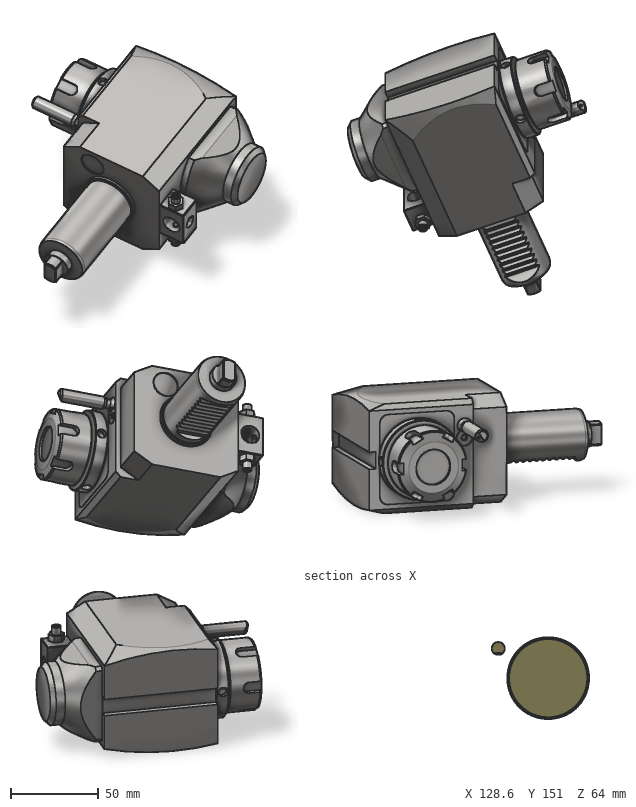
import cadquery as cq
import math


TOTAL_LENGTH_X = 128.63
TOTAL_LENGTH_Y = 151.0

HOUSING_HALF_HEIGHT = 32.0
HOUSING_RIGHT = 32.3
HOUSING_LEFT = -35.0
HOUSING_BACK = 84.0
FOOT_LEFT = -32.0
FOOT_DEPTH = 21.0
LEFT_CHAMFER = 3.0
LONG_CHAMFER_RUN = 11.0
LONG_CHAMFER_ANGLE = 30.0
LONG_CHAMFER_RISE = LONG_CHAMFER_RUN * math.tan(math.radians(LONG_CHAMFER_ANGLE))
CROWN_RADIUS = 160.0
CROWN_TAPER = 14.0
BACK_SLOT_WIDTH = 10.0
BACK_SLOT_DEPTH = 4.0
FRONT_DISC = (-12.5, 21.6)
FRONT_DISC_RADIUS = 7.5
FRONT_DISC_DEPTH = 0.8

SPINDLE_Y = 55.0
COVER_WIDTH = 45.0
COVER_HEIGHT = 52.6
COVER_CORNER = 5.0
COVER_RAISE = 0.1
COLLAR_RADIUS = 23.5
COLLAR_SEAT_RADIUS = 22.5
COLLAR_FRONT = -43.2
COLLAR_BACK = -35.5
COLLAR_CHAMFER = 0.5
COLLAR_HOLE_RADIUS = 2.7
COLLAR_HOLE_DEPTH = 3.0
COLLAR_HOLE_X = -39.5
COLLAR_HOLE_COUNT = 4
NUT_RADIUS = 20.95
NUT_FRONT = -64.6
NUT_SHOULDER = -62.3
NUT_RIM_X = -63.3
NUT_RIM_RADIUS = 20.3
NUT_BACK = -44.4
NUT_NECK_RADIUS = 17.5
NUT_FACE_RADIUS = 15.0
NUT_BORE_RADIUS = 10.3
NUT_BORE_DEPTH = 1.5
NUT_BACK_CHAMFER = 0.4
NUT_SLOT_COUNT = 6
NUT_SLOT_WIDTH = 6.6
NUT_SLOT_END = -52.4
NUT_LONG_SLOT_END = -50.6
NUT_LONG_SLOTS = (1, 2)
FIRST_SLOT_ANGLE = -90.0
NUT_SLOT_FLOOR = 17.7

NOZZLE_Y = 26.4
NOZZLE_Z = 17.0
NOZZLE_TIP = -67.8
NOZZLE_RADIUS = 3.7
NOZZLE_CHAMFER = 0.9
NOZZLE_BODY_END = -41.1
NOZZLE_NECK_RADIUS = 2.6
NOZZLE_NECK_START = -39.3
NOZZLE_NECK_END = -37.0
NOZZLE_FOOT_RADIUS = 4.3
NOZZLE_BEVEL_OFFSET = 0.7
NOZZLE_JET_RADIUS = 0.7
NOZZLE_JET_DEPTH = 2.0
PLUG_Z = 9.8
PLUG_RADIUS = 4.7
PLUG_RECESS = 0.2
PLUG_SOCKET_ACROSS_FLATS = 3.0
PLUG_SOCKET_DEPTH = 2.0

CAP_RADIUS = 32.4
CAP_CONE_START = 36.1
CAP_CONE_END = 52.6
CAP_NOSE_RADIUS = 18.3
CAP_END = NOZZLE_TIP + TOTAL_LENGTH_X
CAP_END_CHAMFER = 2.8
CAP_FLAT_Z = 23.15
CAP_FLAT_Y = 24.6
CAP_SLOPE_START = 38.8
CAP_SLOPE_ANGLE = 14.0

SHANK_RADIUS = 15.0
SHANK_LENGTH = 55.0
SHANK_CHAMFER_RUN = 1.8
SHANK_CHAMFER_RISE = 0.5
FLANGE_RADIUS = 16.1
FLANGE_FRONT_RADIUS = 15.6
FLANGE_THICKNESS = 1.3
RELIEF_RADIUS = 14.8
RELIEF_END = 2.2
PILOT_RADIUS = 7.5
PILOT_END = 59.5
TANG_RADIUS = 7.1
TANG_WIDTH = 8.0
TANG_END = TOTAL_LENGTH_Y - HOUSING_BACK
TANG_TIP_CHAMFER = 0.7
TANG_CORNER_CHAMFER = 0.4
TANG_ROOT_RADIUS = 0.7
RACK_TIP_Z = -12.2
RACK_ROOT_Z = -10.7
RACK_START = 7.2
RACK_START_LEAN = 0.6
RACK_FIRST_ROOT = 11.7
RACK_PITCH = 4.0
RACK_ROOT_COUNT = 10
RACK_ROOT_FLAT = 0.8

BLOCK_RIGHT = 48.0
BLOCK_FRONT = 1.0
BLOCK_BACK = 15.8
BLOCK_HALF_HEIGHT = 12.3
BLOCK_CHAMFER = 0.4
BLOCK_HOLE_X = 40.0
BLOCK_HOLE_RADIUS = 5.5
CROSS_HOLE_RADIUS = 3.7
SCREW_Y = 5.8
SCREW_RADIUS = 2.6
SCREW_TOP = 21.1
SCREW_CHAMFER = 0.4
SCREW_POINT_RADIUS = 1.4
SCREW_POINT_Z = 4.6
SCREW_SOCKET_ACROSS_FLATS = 2.5
SCREW_SOCKET_DEPTH = 2.0
HEXNUT_ACROSS_FLATS = 8.0
HEXNUT_TOP = 16.2

OVERLAP = 1.0
CLEAR = 100.0


def box(x_range, y_range, z_range):
    """Axis-aligned box given by its limits."""
    corner = (x_range[0], y_range[0], z_range[0])
    return (
        cq.Workplane("XY")
        .box(
            x_range[1] - x_range[0],
            y_range[1] - y_range[0],
            z_range[1] - z_range[0],
            centered=False,
        )
        .translate(corner)
    )


def turned_x(profile, y=0.0, z=0.0):
    """Body of revolution about the line through (y, z) along X; profile holds (x, radius)."""
    points = [(profile[0][0], 0.0)] + profile + [(profile[-1][0], 0.0)]
    outline = cq.Workplane("XY").polyline(points).close()
    return outline.revolve(360, (0, 0, 0), (1, 0, 0)).translate((0, y, z))


def turned_y(profile, x=0.0, z=0.0):
    """Body of revolution about the line through (x, z) along Y; profile holds (y, radius)."""
    points = [(0.0, profile[0][0])] + [(r, y) for y, r in profile] + [(0.0, profile[-1][0])]
    outline = cq.Workplane("XY").polyline(points).close()
    return outline.revolve(360, (0, 0, 0), (0, 1, 0)).translate((x, 0, z))


def hexagon_prism(plane, center, across_flats, length):
    """Hexagonal prism standing on the plane moved to center."""
    across_corners = across_flats / math.cos(math.radians(30))
    return cq.Workplane(plane, origin=center).polygon(6, across_corners).extrude(length)


def crown_cone():
    """Large shallow cone that rounds the upper back edge, through both back corners."""
    left_z = HOUSING_HALF_HEIGHT - LEFT_CHAMFER
    right_z = HOUSING_HALF_HEIGHT - LONG_CHAMFER_RISE
    run = HOUSING_RIGHT - HOUSING_LEFT
    rise = right_z - left_z
    chord = math.hypot(run, rise)
    sagitta_arm = math.sqrt(CROWN_RADIUS**2 - (chord / 2) ** 2)
    center_x = (HOUSING_LEFT + HOUSING_RIGHT) / 2 + sagitta_arm * rise / chord
    center_z = (left_z + right_z) / 2 - sagitta_arm * run / chord
    front_radius = CROWN_RADIUS + HOUSING_BACK * math.tan(math.radians(CROWN_TAPER))
    return turned_y([(0.0, front_radius), (HOUSING_BACK, CROWN_RADIUS)], center_x, center_z)


def housing():
    """Chamfered head with its crowned back and notch, on a narrower foot."""
    top = HOUSING_HALF_HEIGHT
    long_run = LONG_CHAMFER_RUN
    long_z = top - LONG_CHAMFER_RISE
    short_z = top - LEFT_CHAMFER
    right_edge = [
        (HOUSING_RIGHT - long_run, -top),
        (HOUSING_RIGHT, -long_z),
        (HOUSING_RIGHT, long_z),
        (HOUSING_RIGHT - long_run, top),
    ]
    head_outline = right_edge + [
        (HOUSING_LEFT + LEFT_CHAMFER, top),
        (HOUSING_LEFT, short_z),
        (HOUSING_LEFT, -short_z),
        (HOUSING_LEFT + LEFT_CHAMFER, -top),
    ]
    foot_outline = right_edge + [
        (FOOT_LEFT + long_run, top),
        (FOOT_LEFT, long_z),
        (FOOT_LEFT, -long_z),
        (FOOT_LEFT + long_run, -top),
    ]
    head = (
        cq.Workplane("XZ", origin=(0, FOOT_DEPTH, 0))
        .polyline(head_outline)
        .close()
        .extrude(-(HOUSING_BACK - FOOT_DEPTH))
    )
    upper_cone = crown_cone()
    lower_cone = upper_cone.mirror("XY")
    head = head.intersect(upper_cone).intersect(lower_cone)
    foot = cq.Workplane("XZ").polyline(foot_outline).close().extrude(-FOOT_DEPTH)
    body = head.union(foot)

    half_slot = BACK_SLOT_WIDTH / 2
    slot = box(
        (-CLEAR, CLEAR),
        (HOUSING_BACK - BACK_SLOT_DEPTH, HOUSING_BACK + OVERLAP),
        (-half_slot, half_slot),
    )
    disc = turned_y(
        [(-OVERLAP, FRONT_DISC_RADIUS), (FRONT_DISC_DEPTH, FRONT_DISC_RADIUS)], *FRONT_DISC
    )
    return body.cut(slot).cut(disc)


def cover():
    """Rounded rectangular cover standing slightly proud of the left face."""
    plate = box(
        (HOUSING_LEFT - COVER_RAISE, HOUSING_LEFT + OVERLAP),
        (SPINDLE_Y - COVER_WIDTH / 2, SPINDLE_Y + COVER_WIDTH / 2),
        (-COVER_HEIGHT / 2, COVER_HEIGHT / 2),
    )
    return plate.edges("|X").fillet(COVER_CORNER)


def nut_slot(end_x):
    """Flat-bottomed wrench slot above the spindle axis, open at the nut face, round at end_x."""
    half_slot = NUT_SLOT_WIDTH / 2
    round_x = end_x - half_slot
    return (
        cq.Workplane("XY", origin=(0, 0, NUT_SLOT_FLOOR))
        .moveTo(NUT_FRONT - OVERLAP, -half_slot)
        .lineTo(round_x, -half_slot)
        .threePointArc((end_x, 0), (round_x, half_slot))
        .lineTo(NUT_FRONT - OVERLAP, half_slot)
        .close()
        .extrude(NUT_RADIUS)
    )


def chuck():
    """Collar and slotted clamping nut on the spindle axis."""
    shoulder = COLLAR_RADIUS - COLLAR_CHAMFER
    body = turned_x(
        [
            (NUT_FRONT, NUT_FACE_RADIUS),
            (NUT_RIM_X, NUT_RIM_RADIUS),
            (NUT_SHOULDER, NUT_RADIUS),
            (NUT_BACK - NUT_BACK_CHAMFER, NUT_RADIUS),
            (NUT_BACK, NUT_RADIUS - NUT_BACK_CHAMFER),
            (NUT_BACK, NUT_NECK_RADIUS),
            (COLLAR_FRONT, NUT_NECK_RADIUS),
            (COLLAR_FRONT, shoulder),
            (COLLAR_FRONT + COLLAR_CHAMFER, COLLAR_RADIUS),
            (COLLAR_BACK - COLLAR_CHAMFER, COLLAR_RADIUS),
            (COLLAR_BACK, shoulder),
            (COLLAR_BACK, COLLAR_SEAT_RADIUS),
            (HOUSING_LEFT + OVERLAP, COLLAR_SEAT_RADIUS),
        ]
    )
    bore_floor = NUT_FRONT + NUT_BORE_DEPTH
    body = body.cut(turned_x([(NUT_FRONT - OVERLAP, NUT_BORE_RADIUS), (bore_floor, NUT_BORE_RADIUS)]))

    slot_step = 360 / NUT_SLOT_COUNT
    for i in range(NUT_SLOT_COUNT):
        end_x = NUT_LONG_SLOT_END if i in NUT_LONG_SLOTS else NUT_SLOT_END
        angle = FIRST_SLOT_ANGLE + i * slot_step
        body = body.cut(nut_slot(end_x).rotate((0, 0, 0), (1, 0, 0), angle))

    floor_radius = COLLAR_RADIUS - COLLAR_HOLE_DEPTH
    hole = (
        cq.Workplane("XZ")
        .polyline(
            [
                (0, floor_radius - COLLAR_HOLE_RADIUS / 2),
                (COLLAR_HOLE_RADIUS, floor_radius),
                (COLLAR_HOLE_RADIUS, COLLAR_RADIUS + OVERLAP),
                (0, COLLAR_RADIUS + OVERLAP),
            ]
        )
        .close()
        .revolve(360, (0, 0, 0), (0, 1, 0))
        .translate((COLLAR_HOLE_X, 0, 0))
    )
    hole_step = 360 / COLLAR_HOLE_COUNT
    for i in range(COLLAR_HOLE_COUNT):
        body = body.cut(hole.rotate((0, 0, 0), (1, 0, 0), i * hole_step))
    return body.translate((0, SPINDLE_Y, 0))


def nozzle():
    """Coolant nozzle whose tip is bevelled at 45 degrees towards the spindle axis."""
    body = turned_x(
        [
            (NOZZLE_TIP, NOZZLE_RADIUS - NOZZLE_CHAMFER),
            (NOZZLE_TIP + NOZZLE_CHAMFER, NOZZLE_RADIUS),
            (NOZZLE_BODY_END, NOZZLE_RADIUS),
            (NOZZLE_NECK_START, NOZZLE_NECK_RADIUS),
            (NOZZLE_NECK_END, NOZZLE_NECK_RADIUS),
            (HOUSING_LEFT, NOZZLE_FOOT_RADIUS),
            (HOUSING_LEFT + OVERLAP, NOZZLE_FOOT_RADIUS),
        ]
    )
    bevel = (
        cq.Workplane("XY")
        .polyline(
            [
                (NOZZLE_TIP, NOZZLE_BEVEL_OFFSET),
                (NOZZLE_TIP + NOZZLE_RADIUS, NOZZLE_BEVEL_OFFSET + NOZZLE_RADIUS),
                (NOZZLE_TIP, NOZZLE_BEVEL_OFFSET + NOZZLE_RADIUS),
            ]
        )
        .close()
        .extrude(NOZZLE_RADIUS, both=True)
    )
    jet_radial = (NOZZLE_BEVEL_OFFSET + NOZZLE_RADIUS) / 2
    jet_x = NOZZLE_TIP + jet_radial - NOZZLE_BEVEL_OFFSET
    bevel_plane = cq.Plane(origin=(jet_x, jet_radial, 0), xDir=(0, 0, 1), normal=(-1, 1, 0))
    jet = cq.Workplane(bevel_plane).circle(NOZZLE_JET_RADIUS).extrude(-NOZZLE_JET_DEPTH)
    aim = math.degrees(math.atan2(-NOZZLE_Z, SPINDLE_Y - NOZZLE_Y))
    body = body.cut(bevel).cut(jet).rotate((0, 0, 0), (1, 0, 0), aim)
    return body.translate((0, NOZZLE_Y, NOZZLE_Z))


def plug_recess():
    """Sunk plug head with a hexagon socket, beside the nozzle."""
    floor_x = HOUSING_LEFT + PLUG_RECESS
    head = turned_x([(HOUSING_LEFT - OVERLAP, PLUG_RADIUS), (floor_x, PLUG_RADIUS)], NOZZLE_Y, PLUG_Z)
    socket = hexagon_prism(
        "YZ", (HOUSING_LEFT, NOZZLE_Y, PLUG_Z), PLUG_SOCKET_ACROSS_FLATS, PLUG_SOCKET_DEPTH
    )
    return head.union(socket)


def bearing_cap():
    """Conical cap at the right end of the spindle, flattened above, below and at the back."""
    start = HOUSING_RIGHT - OVERLAP
    body = turned_x(
        [
            (start, CAP_RADIUS),
            (CAP_CONE_START, CAP_RADIUS),
            (CAP_CONE_END, CAP_NOSE_RADIUS),
            (CAP_END - CAP_END_CHAMFER, CAP_NOSE_RADIUS),
            (CAP_END, CAP_NOSE_RADIUS - CAP_END_CHAMFER),
        ]
    )
    end_z = CAP_FLAT_Z - (CAP_CONE_END - CAP_SLOPE_START) * math.tan(math.radians(CAP_SLOPE_ANGLE))
    upper = [
        (start, CAP_FLAT_Z),
        (CAP_SLOPE_START, CAP_FLAT_Z),
        (CAP_CONE_END, end_z),
        (CAP_END, end_z),
    ]
    lower = [(x, -z) for x, z in reversed(upper)]
    envelope = (
        cq.Workplane("XZ", origin=(0, CAP_FLAT_Y, 0))
        .polyline(upper + lower)
        .close()
        .extrude(CAP_FLAT_Y + CAP_RADIUS)
    )
    return body.intersect(envelope).translate((0, SPINDLE_Y, 0))


def rack_cut():
    """Body removed below the shank to leave the toothed clamping flat."""
    flank = RACK_ROOT_Z - RACK_TIP_Z
    half_root = RACK_ROOT_FLAT / 2
    below = -SHANK_RADIUS - OVERLAP
    points = [(-RACK_START + RACK_START_LEAN, -SHANK_RADIUS), (-RACK_START, RACK_TIP_Z)]
    for i in range(RACK_ROOT_COUNT):
        root_y = -RACK_FIRST_ROOT - i * RACK_PITCH
        points.append((root_y + half_root + flank, RACK_TIP_Z))
        points.append((root_y + half_root, RACK_ROOT_Z))
        points.append((root_y - half_root, RACK_ROOT_Z))
        points.append((root_y - half_root - flank, RACK_TIP_Z))
    end_y = points.pop()[0]
    end_drop = RACK_TIP_Z - below
    points.append((end_y - end_drop, below))
    points.append((points[0][0], below))
    return cq.Workplane("YZ").polyline(points).close().extrude(SHANK_RADIUS, both=True)


def tang():
    """Two-flat driving tang with a chamfered tip and rounded roots along both flats."""
    half_width = TANG_WIDTH / 2
    slab = box((-half_width, half_width), (-CLEAR, 0), (-CLEAR, CLEAR))
    body = turned_y([(-PILOT_END + OVERLAP, TANG_RADIUS), (-TANG_END, TANG_RADIUS)]).intersect(slab)
    body = body.faces("<Y").edges().chamfer(TANG_TIP_CHAMFER)
    body = body.edges("|Y").chamfer(TANG_CORNER_CHAMFER)

    half_flat = math.sqrt(TANG_RADIUS**2 - half_width**2) - TANG_CORNER_CHAMFER
    radius = TANG_ROOT_RADIUS
    middle = radius * (1 - math.sqrt(0.5))
    root = (
        cq.Workplane("XY")
        .moveTo(half_width - OVERLAP, -PILOT_END + OVERLAP)
        .lineTo(half_width + radius, -PILOT_END + OVERLAP)
        .lineTo(half_width + radius, -PILOT_END)
        .threePointArc(
            (half_width + middle, -PILOT_END - middle), (half_width, -PILOT_END - radius)
        )
        .lineTo(half_width - OVERLAP, -PILOT_END - radius)
        .close()
        .extrude(half_flat, both=True)
    )
    return body.union(root).union(root.mirror("YZ"))


def shank():
    """Flanged cylindrical shank with its clamping rack, pilot and driving tang."""
    body = turned_y(
        [
            (OVERLAP, FLANGE_RADIUS),
            (0.0, FLANGE_RADIUS),
            (-FLANGE_THICKNESS, FLANGE_FRONT_RADIUS),
            (-FLANGE_THICKNESS, RELIEF_RADIUS),
            (-RELIEF_END, RELIEF_RADIUS),
            (-RELIEF_END, SHANK_RADIUS),
            (-SHANK_LENGTH + SHANK_CHAMFER_RUN, SHANK_RADIUS),
            (-SHANK_LENGTH, SHANK_RADIUS - SHANK_CHAMFER_RISE),
            (-SHANK_LENGTH, PILOT_RADIUS),
            (-PILOT_END, PILOT_RADIUS),
        ]
    )
    return body.cut(rack_cut()).union(tang())


def clamp_screw():
    """Upper set screw with lock nut; its point reaches into the block hole."""
    point_end = SCREW_POINT_Z
    shaft_end = BLOCK_HOLE_RADIUS
    screw = (
        cq.Workplane("XZ")
        .polyline(
            [
                (0, point_end),
                (SCREW_POINT_RADIUS, point_end),
                (SCREW_POINT_RADIUS, shaft_end),
                (SCREW_RADIUS, shaft_end),
                (SCREW_RADIUS, SCREW_TOP - SCREW_CHAMFER),
                (SCREW_RADIUS - SCREW_CHAMFER, SCREW_TOP),
                (0, SCREW_TOP),
            ]
        )
        .close()
        .revolve(360, (0, 0, 0), (0, 1, 0))
    )
    lock_nut = hexagon_prism(
        "XY",
        (0, 0, BLOCK_HALF_HEIGHT - OVERLAP),
        HEXNUT_ACROSS_FLATS,
        HEXNUT_TOP - BLOCK_HALF_HEIGHT + OVERLAP,
    )
    socket = hexagon_prism("XY", (0, 0, SCREW_TOP), SCREW_SOCKET_ACROSS_FLATS, -SCREW_SOCKET_DEPTH)
    return screw.union(lock_nut).cut(socket).translate((BLOCK_HOLE_X, SCREW_Y, 0))


def clamping_block():
    """Small drilled block on the right face, with one set screw above and one below."""
    body = box(
        (HOUSING_RIGHT - OVERLAP, BLOCK_RIGHT),
        (BLOCK_FRONT, BLOCK_BACK),
        (-BLOCK_HALF_HEIGHT, BLOCK_HALF_HEIGHT),
    )
    body = body.edges(">X or |X").chamfer(BLOCK_CHAMFER)
    hole = turned_y([(-OVERLAP, BLOCK_HOLE_RADIUS), (CLEAR, BLOCK_HOLE_RADIUS)], BLOCK_HOLE_X)
    cross_y = (BLOCK_FRONT + BLOCK_BACK) / 2
    cross_hole = turned_x(
        [(BLOCK_HOLE_X, CROSS_HOLE_RADIUS), (BLOCK_RIGHT + OVERLAP, CROSS_HOLE_RADIUS)], cross_y
    )
    upper_screw = clamp_screw()
    lower_screw = upper_screw.mirror("XY")
    return body.cut(hole).cut(cross_hole).union(upper_screw).union(lower_screw)


result = (
    housing()
    .union(cover())
    .union(chuck())
    .union(nozzle())
    .cut(plug_recess())
    .union(bearing_cap())
    .union(shank())
    .union(clamping_block())
)